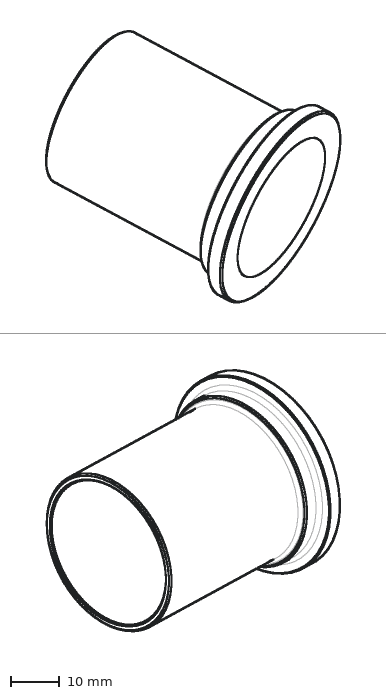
import cadquery as cq

length = 47.0
bore_diameter = 32.0
tube_diameter = 35.0
shoulder_diameter = 38.0
flange_diameter = 44.0

flange_width = 3.5
shoulder_width = 4.05
flange_face = length - flange_width
shoulder_face = flange_face - shoulder_width

edge_chamfer = 0.38
flange_front_chamfer = 0.25
bore_chamfer = 0.3
tube_fillet = 0.75
flange_fillet = 0.95


def cylinder(diameter, start, end):
    """Solid cylinder along X between two axial positions."""
    return cq.Workplane("YZ", origin=(start, 0, 0)).circle(diameter / 2).extrude(end - start)


def step_corner(face, diameter):
    """Selector for the circle where a step face meets the smaller cylinder in front of it."""
    radius = diameter / 2
    margin = 0.05
    return cq.selectors.BoxSelector(
        (face - margin, -radius - margin, -radius - margin),
        (face + margin, radius + margin, radius + margin),
        boundingbox=True,
    )


tube = cylinder(tube_diameter, 0, length).faces("<X").edges().chamfer(edge_chamfer)
shoulder = cylinder(shoulder_diameter, shoulder_face, length).faces("<X").edges().chamfer(edge_chamfer)
flange = cylinder(flange_diameter, flange_face, length)
flange = flange.faces("<X").edges().chamfer(flange_front_chamfer)
flange = flange.faces(">X").edges().chamfer(edge_chamfer)
body = tube.union(shoulder).union(flange)

body = body.edges(step_corner(shoulder_face, tube_diameter)).fillet(tube_fillet)
body = body.edges(step_corner(flange_face, shoulder_diameter)).fillet(flange_fillet)

body = body.cut(cylinder(bore_diameter, 0, length))
result = body.faces("<X").edges(cq.selectors.RadiusNthSelector(0)).chamfer(bore_chamfer)